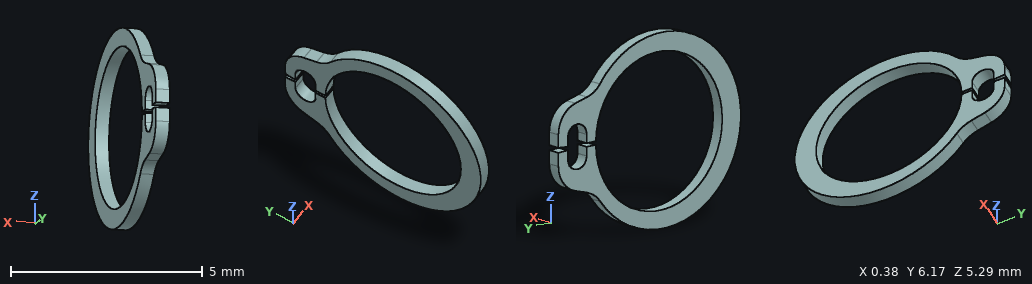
import cadquery as cq
import math

thickness = 0.38
overall_length = 6.17
outer_diameter = 5.29
outer_radius = outer_diameter / 2
tip_y = overall_length - outer_radius

bore_radius = 2.135
bore_y = 0.125

corner_radius = 0.785
corner_z = 0.425
flank_angle = math.radians(15)
blend_radius = 0.785

slot_y = 2.89
slot_width = 0.63
slot_length = 1.21

gap_width = 0.09
tip_gap_width = 0.13


def polar(radius, angle):
    return (radius * math.cos(angle), radius * math.sin(angle))


def shift(point, radius, angle):
    offset = polar(radius, angle)
    return (point[0] + offset[0], point[1] + offset[1])


def mirrored(point):
    return (point[0], -point[1])


def extruded(sketch):
    return sketch.extrude(thickness / 2, both=True)


def lug_body():
    """Both lugs as one solid, joined to the disc by tangent blends."""
    flank_normal = math.pi / 2 - flank_angle
    corner_center = (tip_y - corner_radius, corner_z)
    tip_end = (tip_y, corner_z)
    corner_mid = shift(corner_center, corner_radius, flank_normal / 2)
    flank_start = shift(corner_center, corner_radius, flank_normal)

    flank_distance = (
        corner_center[0] * math.cos(flank_normal)
        + corner_center[1] * math.sin(flank_normal)
        + corner_radius
    )
    center_distance = outer_radius + blend_radius
    center_angle = flank_normal - math.acos((flank_distance + blend_radius) / center_distance)
    blend_center = polar(center_distance, center_angle)
    flank_end = shift(blend_center, -blend_radius, flank_normal)
    blend_mid = shift(blend_center, -blend_radius, (flank_normal + center_angle) / 2)
    disc_contact = polar(outer_radius, center_angle)

    outline = (
        cq.Workplane("YZ")
        .moveTo(*mirrored(tip_end))
        .lineTo(*tip_end)
        .threePointArc(corner_mid, flank_start)
        .lineTo(*flank_end)
        .threePointArc(blend_mid, disc_contact)
        .lineTo(0, 0)
        .lineTo(*mirrored(disc_contact))
        .threePointArc(mirrored(blend_mid), mirrored(flank_end))
        .lineTo(*mirrored(flank_start))
        .threePointArc(mirrored(corner_mid), mirrored(tip_end))
        .close()
    )
    return extruded(outline)


def lug_slot():
    return extruded(cq.Workplane("YZ").center(slot_y, 0).slot2D(slot_length, slot_width, 90))


def lug_gap():
    slot_outer_y = slot_y + slot_width / 2
    upper_edge = [
        (bore_y, gap_width / 2),
        (slot_outer_y, gap_width / 2),
        (tip_y, tip_gap_width / 2),
    ]
    lower_edge = [mirrored(point) for point in reversed(upper_edge)]
    return extruded(cq.Workplane("YZ").polyline(upper_edge + lower_edge).close())


disc = extruded(cq.Workplane("YZ").circle(outer_radius))
bore = extruded(cq.Workplane("YZ").center(bore_y, 0).circle(bore_radius))

result = disc.union(lug_body()).cut(bore).cut(lug_slot()).cut(lug_gap())